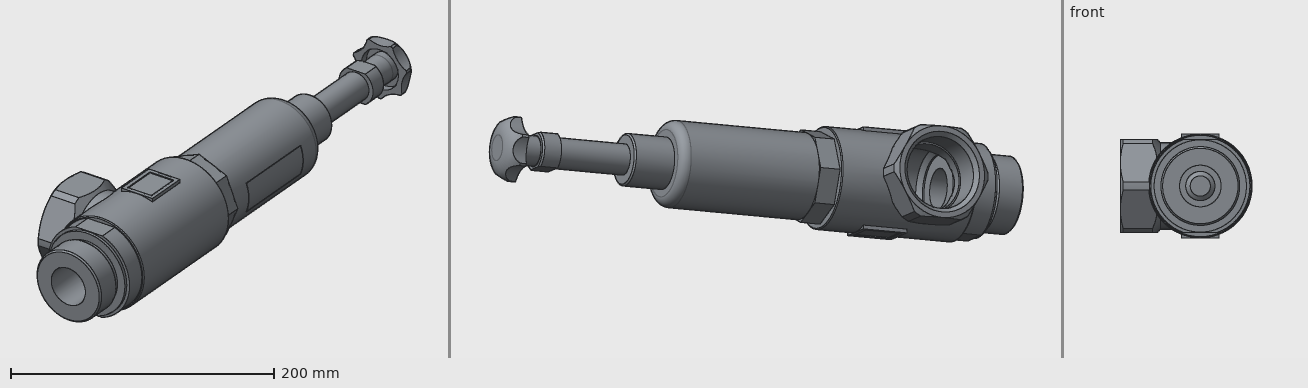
import cadquery as cq
import math


body_radius = 39.5
body_bottom = -39.5
body_top = 74.0
body_chamfer = 1.0
cavity_radius = 30.0
seat_bore_radius = 26.0
seat_cone_top = -20.0
seat_cone_height = cavity_radius - seat_bore_radius
bonnet_plug_bottom = 30.0

outlet_reach = 60.5
outlet_flat_half = 35.5
outlet_corner_radius = 39.5
outlet_hex_end = 36.5
outlet_neck_radius = 33.0
outlet_back_bevel_length = 6.0
outlet_face_bevel_length = 2.0
outlet_bore_radius = 28.0
outlet_bore_step = 34.0
outlet_passage_radius = 26.5
outlet_mouth_radius = 31.0
outlet_mouth_depth = outlet_mouth_radius - outlet_bore_radius

plate_width = 28.5
plate_length = 36.5
plate_center_y = 26.0
plate_height = 39.55
plate_frame = 3.5
plate_recess = 1.0

inlet_end = -83.0
inlet_thread_radius = 30.0
inlet_thread_top = -62.5
inlet_chamfer = 1.3
inlet_groove_radius = 28.2
inlet_flange_radius = 37.5
inlet_flange_bottom = -55.5
inlet_lip_radius = 35.0
inlet_lip_bottom = -58.0
inlet_flat_half = 35.5
inlet_bore_radius = 16.0
inlet_plug_top = -25.2

housing_radius = 33.5
housing_top = 205.0
housing_fillet = 7.5
octagon_corner_radius = 36.0
octagon_top = 90.0
label_bottom = 108.0
label_top = 180.0
label_half_width = 12.5
label_thickness = 0.5
tip_base_radius = 11.0
tip_end_radius = 7.5
tip_height = 2.5

collar_radius = 20.0
collar_top = 238.5
collar_chamfer = 1.3
stem_radius = 12.0
locknut_bottom = 298.0
locknut_top = 313.5
locknut_radius = 16.0
locknut_flat_half = 13.3
locknut_chamfer = 1.3

knob_bottom = 329.5
knob_top = inlet_end + 427.5
knob_radius = 25.2
knob_rim_top = 334.7
knob_dome_mid = (20.5, 341.0)
knob_crown_radius = 10.0
knob_lobes = 7
scallop_depth_radius = 21.0
scallop_radius = 23.5
knob_cup_radius = 17.0
knob_cup_depth = 7.0
knob_hub_tip_radius = 11.5


def cylinder_y(radius, y_start, y_end):
    return cq.Workplane("XZ", origin=(0, y_start, 0)).circle(radius).extrude(y_start - y_end)


def revolve_y(points):
    return cq.Workplane("XY").polyline(points).close().revolve(360, (0, 0), (0, 1))


def revolve_x(points):
    return cq.Workplane("XY").polyline(points).close().revolve(360, (0, 0), (1, 0))


def flats_block(half_height, radius, y_start, y_end):
    """Slab between two horizontal spanner flats."""
    length = y_end - y_start
    return cq.Workplane("XY").box(2 * radius, length, 2 * half_height).translate((0, y_start + length / 2, 0))


def make_outlet():
    """Hexagonal outlet end with rounded corners, on a round neck."""
    hexagon = (
        cq.Workplane("YZ", origin=(-outlet_reach, 0, 0))
        .polygon(6, 2 * outlet_flat_half / math.cos(math.pi / 6))
        .extrude(outlet_reach)
    )
    envelope = revolve_x([
        (-outlet_reach, 0),
        (-outlet_reach, outlet_flat_half),
        (-outlet_reach + outlet_face_bevel_length, outlet_corner_radius),
        (-outlet_hex_end, outlet_corner_radius),
        (-outlet_hex_end + outlet_back_bevel_length, outlet_neck_radius),
        (0, outlet_neck_radius),
        (0, 0),
    ])
    return hexagon.intersect(envelope)


def make_outlet_bore():
    return revolve_x([
        (-outlet_reach, 0),
        (-outlet_reach, outlet_mouth_radius),
        (-outlet_reach + outlet_mouth_depth, outlet_bore_radius),
        (-outlet_bore_step, outlet_bore_radius),
        (-outlet_bore_step, outlet_passage_radius),
        (0, outlet_passage_radius),
        (0, 0),
    ])


def add_plate(body, side):
    """Flat framed plate on the top (side = 1) or the bottom (side = -1) of the body."""
    pad = cq.Workplane("XY", origin=(0, plate_center_y, 0)).rect(plate_width, plate_length)
    window = cq.Workplane("XY", origin=(0, plate_center_y, side * (plate_height - plate_recess))).rect(
        plate_width - 2 * plate_frame, plate_length - 2 * plate_frame
    )
    return body.union(pad.extrude(side * plate_height)).cut(window.extrude(side * plate_recess))


def make_body():
    body = cylinder_y(body_radius, body_bottom, body_top).edges("%CIRCLE").chamfer(body_chamfer)
    body = body.union(make_outlet())
    for side in (1, -1):
        body = add_plate(body, side)
    cavity = revolve_y([
        (0, body_bottom),
        (seat_bore_radius, body_bottom),
        (seat_bore_radius, seat_cone_top - seat_cone_height),
        (cavity_radius, seat_cone_top),
        (cavity_radius, body_top),
        (0, body_top),
    ])
    return body.cut(cavity).cut(make_outlet_bore())


def make_inlet_fitting():
    fitting = revolve_y([
        (inlet_bore_radius, inlet_end),
        (inlet_thread_radius - inlet_chamfer, inlet_end),
        (inlet_thread_radius, inlet_end + inlet_chamfer),
        (inlet_thread_radius, inlet_thread_top),
        (inlet_groove_radius, inlet_thread_top + inlet_thread_radius - inlet_groove_radius),
        (inlet_groove_radius, inlet_lip_bottom),
        (inlet_lip_radius, inlet_lip_bottom),
        (inlet_lip_radius, inlet_flange_bottom),
        (inlet_flange_radius, inlet_flange_bottom),
        (inlet_flange_radius, body_bottom),
        (seat_bore_radius, body_bottom),
        (seat_bore_radius, inlet_plug_top),
        (inlet_bore_radius, inlet_plug_top),
    ])
    return fitting.intersect(flats_block(inlet_flat_half, inlet_flange_radius, inlet_end, inlet_plug_top))


def make_housing():
    """Spring housing with its octagon, the plug closing the cavity and a tapered tip facing the inlet."""
    shell = cylinder_y(housing_radius, octagon_top, housing_top).faces(">Y").edges().fillet(housing_fillet)
    octagon = (
        cq.Workplane("XZ", origin=(0, body_top, 0))
        .polygon(8, 2 * octagon_corner_radius)
        .extrude(body_top - octagon_top)
    )
    plug = revolve_y([
        (0, bonnet_plug_bottom),
        (tip_end_radius, bonnet_plug_bottom),
        (tip_base_radius, bonnet_plug_bottom + tip_height),
        (cavity_radius, bonnet_plug_bottom + tip_height),
        (cavity_radius, body_top),
        (0, body_top),
    ])
    label_radius = housing_radius + label_thickness
    label_window = cq.Workplane("XY").box(
        label_radius, label_top - label_bottom, 2 * label_half_width, centered=(False, False, True)
    ).translate((0, label_bottom, 0))
    label = cylinder_y(label_radius, label_bottom, label_top).intersect(label_window)
    return shell.union(octagon).union(plug).union(label)


def make_collar():
    return cylinder_y(collar_radius, housing_top, collar_top).faces(">Y").edges().chamfer(collar_chamfer)


def make_stem():
    return cylinder_y(stem_radius, collar_top, locknut_top)


def make_locknut():
    """Round nut with two spanner flats, threaded over the stem."""
    nut = cylinder_y(locknut_radius, locknut_bottom, locknut_top).faces(">Y").edges().chamfer(locknut_chamfer)
    nut = nut.intersect(flats_block(locknut_flat_half, locknut_radius, locknut_bottom, locknut_top))
    return nut.cut(cylinder_y(stem_radius, locknut_bottom, locknut_top))


def make_knob():
    """Domed star knob, hollow underneath, on a slightly tapered hub."""
    knob = (
        cq.Workplane("XY")
        .moveTo(0, knob_bottom)
        .lineTo(knob_radius, knob_bottom)
        .lineTo(knob_radius, knob_rim_top)
        .threePointArc(knob_dome_mid, (knob_crown_radius, knob_top))
        .lineTo(0, knob_top)
        .close()
        .revolve(360, (0, 0), (0, 1))
    )
    scallop = cylinder_y(scallop_radius, knob_bottom, knob_top).translate(
        (0, 0, scallop_depth_radius + scallop_radius)
    )
    for index in range(knob_lobes):
        knob = knob.cut(scallop.rotate((0, 0, 0), (0, 1, 0), index * 360 / knob_lobes))
    knob = knob.cut(cylinder_y(knob_cup_radius, knob_bottom, knob_bottom + knob_cup_depth))
    hub_top = knob_bottom + knob_cup_depth
    hub = revolve_y([
        (0, locknut_top),
        (knob_hub_tip_radius, locknut_top),
        (stem_radius, knob_bottom),
        (stem_radius, hub_top),
        (0, hub_top),
    ])
    return knob.union(hub)


body = make_body()
inlet_fitting = make_inlet_fitting()
housing = make_housing()
collar = make_collar()
stem = make_stem()
locknut = make_locknut()
knob = make_knob()

result = cq.Compound.makeCompound([
    body.val(),
    inlet_fitting.val(),
    housing.val(),
    collar.val(),
    stem.val(),
    locknut.val(),
    knob.val(),
])